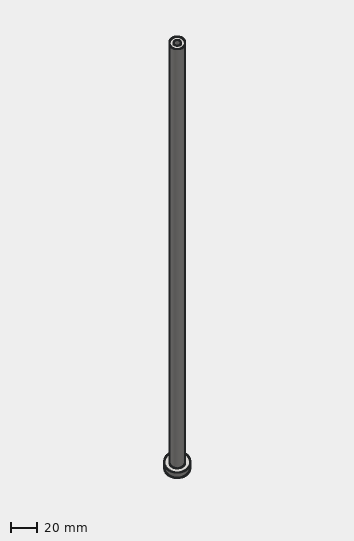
import cadquery as cq

total_length = 550.0
head_diameter = 20.0
head_height = 7.0
shaft_diameter = 12.0
bore_diameter = 5.5


def make_head():
    """Round collar at the foot of the sleeve."""
    return cq.Workplane("XY").circle(head_diameter / 2).extrude(head_height)


def make_shaft():
    """Long cylindrical shaft running the full length."""
    return cq.Workplane("XY").circle(shaft_diameter / 2).extrude(total_length)


def make_bore():
    """Axial through bore."""
    return cq.Workplane("XY").circle(bore_diameter / 2).extrude(total_length)


result = make_head().union(make_shaft()).cut(make_bore())